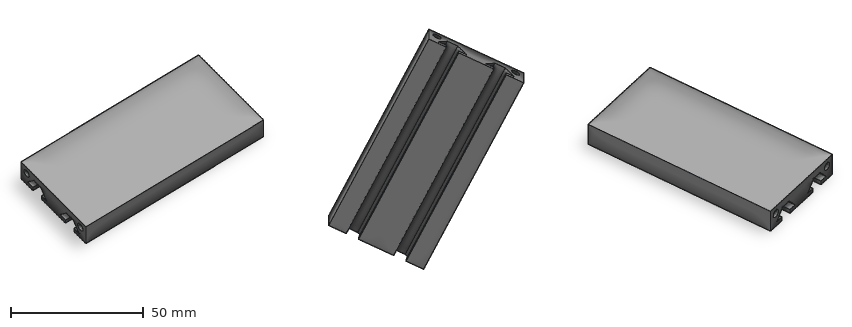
import cadquery as cq

width = 40.0
length = 84.7
height = 10.0

slot_pitch = width / 2
neck_width = 5.2
slot_base_width = 11.7
slot_roof_width = 4.4
lip_thickness = 1.9
slot_depth = 6.4

hole_diameter = 3.3
hole_spacing = 33.0
hole_height = slot_depth


def slot_cutter(center_x):
    """Narrow neck widening above the lips, then tapering to a flat roof."""
    right_half = [
        (neck_width / 2, 0),
        (neck_width / 2, lip_thickness),
        (slot_base_width / 2, lip_thickness),
        (slot_roof_width / 2, slot_depth),
    ]
    left_half = [(-x, z) for x, z in reversed(right_half)]
    outline = [(center_x + x, z) for x, z in right_half + left_half]
    return cq.Workplane("XZ").polyline(outline).close().extrude(length / 2, both=True)


def hole_cutter(center_x):
    """Round bore along the full length."""
    return (
        cq.Workplane("XZ")
        .center(center_x, hole_height)
        .circle(hole_diameter / 2)
        .extrude(length / 2, both=True)
    )


result = cq.Workplane("XY").box(width, length, height, centered=(True, True, False))

for side in (-1, 1):
    result = result.cut(slot_cutter(side * slot_pitch / 2))
    result = result.cut(hole_cutter(side * hole_spacing / 2))